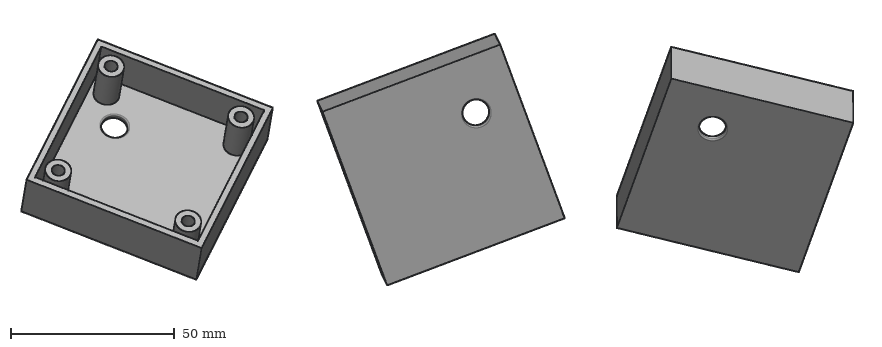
import cadquery as cq
import math

side = 58.0
height = 17.0
wall = 2.0
floor = 2.0

post_diameter = 8.0
post_bore = 4.0
post_spacing = 43.0
post_height = height - floor

opening_x = -14.8
opening_y = 11.65
opening_diameter = 8.2
opening_rounding = 0.5

tilt_about_x = 1.7
tilt_about_y = 6.62
tilt = math.hypot(tilt_about_x, tilt_about_y)


def tilted(body):
    return body.rotate((0, 0, 0), (tilt_about_x, tilt_about_y, 0), tilt)


def make_opening_cutter():
    radius = opening_diameter / 2
    wide_radius = radius + opening_rounding
    arc_inset = opening_rounding * (1 - math.sqrt(0.5))
    cutter = (
        cq.Workplane("XZ")
        .lineTo(wide_radius, 0)
        .threePointArc((radius + arc_inset, arc_inset), (radius, opening_rounding))
        .lineTo(radius, floor - opening_rounding)
        .threePointArc((radius + arc_inset, floor - arc_inset), (wide_radius, floor))
        .lineTo(0, floor)
        .close()
        .revolve()
    )
    return cutter.translate((opening_x, opening_y, 0))


def make_housing():
    shell = cq.Workplane("XY").box(side, side, height, centered=(True, True, False))
    inner_side = side - 2 * wall
    cavity = (
        cq.Workplane("XY", origin=(0, 0, floor))
        .rect(inner_side, inner_side)
        .extrude(height - floor)
    )
    return shell.cut(cavity).cut(make_opening_cutter())


def make_standoff(x, y):
    return (
        cq.Workplane("XY", origin=(x, y, floor))
        .circle(post_diameter / 2)
        .circle(post_bore / 2)
        .extrude(post_height)
    )


housing = tilted(make_housing())

standoffs = []
for x_side in (-1, 1):
    for y_side in (-1, 1):
        standoff = make_standoff(x_side * post_spacing / 2, y_side * post_spacing / 2)
        standoffs.append(tilted(standoff).val())

result = cq.Compound.makeCompound([housing.val(), *standoffs])